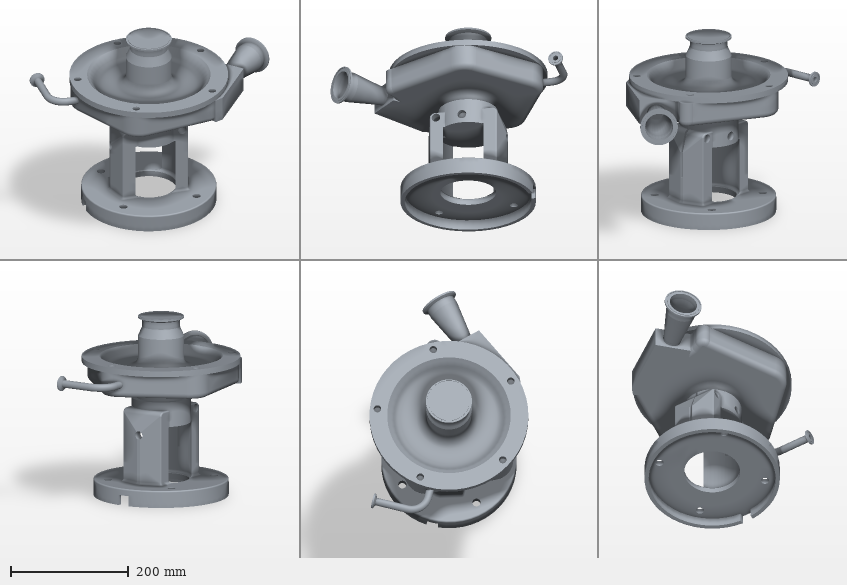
import math

import cadquery as cq

BASE_RADIUS = 115
BASE_HEIGHT = 29.2
BASE_EDGE_FILLET = 2.5
BASE_BORE_RADIUS = 47.5
BASE_BORE_CHAMFER = 1.5
RECESS_RADIUS = 108
RECESS_DEPTH = 17.6
BASE_BOLT_CIRCLE_RADIUS = 92
BASE_BOLT_RADIUS = 7
BASE_BOLT_COUNT = 4
FIRST_BASE_BOLT_ANGLE = 45
NOTCH_WIDTH = 20

LEG_WIDTH = 78
LEG_TOP_Z = 155.5
LEG_BORE_RADIUS = 52.5
LEG_CORNER_Y = 58
LEG_RIDGE_Y = 68.6
LEG_RIDGE_WIDTH = 6.5
LEG_CORNER_FILLET = 2.5
LEG_TOP_FILLET = 10
LEG_SLOPE_BASE_Z = 118.5
LEG_SLOPE_TOP_Y = 56.6
FOOT_FILLET = 4.5
FRONT_HOLE_RADIUS = 7.1
FRONT_HOLE_Z = 113.7

COLLAR_RADIUS = 50.5
COLLAR_BOTTOM_Z = 126.7
COLLAR_TOP_Z = 169.6
COLLAR_HOLE_RADIUS = 7.7
COLLAR_HOLE_Z = 142
COLLAR_HOLE_DEPTH = 10
CLAMP_SCREW_RADIUS = 7.4
CLAMP_SCREW_Y = 47.5
CLAMP_SCREW_Z = 145.7
SLIT_WIDTH = 4
SLIT_BOTTOM_Z = 74

CASING_BOTTOM_Z = 189
FLANGE_BOTTOM_Z = 231
FLANGE_THICKNESS = 10
FLANGE_TOP_Z = FLANGE_BOTTOM_Z + FLANGE_THICKNESS
FLANGE_RADIUS = 135
FLANGE_BOLT_CIRCLE_RADIUS = 122
FLANGE_BOLT_RADIUS = 6.4
CASING_SIDES = 5
FIRST_CORNER_ANGLE = 45
CASING_FACE_DISTANCE = 115.2
CASING_CORNER_RADIUS = 35.3
CASING_EDGE_FILLET = 9.5
LUG_ROOT_SIDE = 35
LUG_START_SIDE = 8.1
LUG_END_SIDE = -23
LUG_CROWN = (142.5, -7.1)
LUG_CROWN_END = (134.4, -16.6)
CASING_NECK_RADIUS = 42
CASING_NECK_FILLET = 10

DISH_FLOOR_Z = 225
DISH_FILLET = 15
DISH_WALL_ANGLE = 45
DISH_FLOOR_RADIUS = 82.7

INLET_RADIUS = 39
INLET_TAPER_BOTTOM_Z = 276
INLET_TAPER_TOP_Z = 292
INLET_NECK_RADIUS = 32
INLET_FERRULE_RADIUS = 39.2
INLET_TOP_Z = 310
FERRULE_RIM = 3
FERRULE_LENGTH = 6
GROOVE_WIDTH = 2
GROOVE_INSET = 2
GROOVE_DEPTH = 1

OUTLET_ANGLE = FIRST_CORNER_ANGLE + 90
OUTLET_OFFSET = 95.6
OUTLET_Z = 209
OUTLET_FACE = 110
BLOCK_OUTLINE = [
    (124, OUTLET_FACE),
    (63, OUTLET_FACE),
    (60, 0),
    (135.4, -11),
    (140.8, 2.6),
]
OUTLET_NECK_LENGTH = 3.5
OUTLET_SMALL_RADIUS = 15.4
OUTLET_LARGE_RADIUS = 25.7
OUTLET_CONE_END = 177.5
OUTLET_FERRULE_RADIUS = 32
OUTLET_END = 195.9
OUTLET_BORE_LARGE = 23.7
OUTLET_BORE_MIDDLE = 22
OUTLET_BORE_STEP_START = 170
OUTLET_BORE_STEP_END = 184
OUTLET_BORE_SMALL = 13

DRAIN_RADIUS = 6.5
DRAIN_Z = 211.5
DRAIN_BORE_RADIUS = 4.5
DRAIN_BEND_RADIUS = 28.6
DRAIN_BEND_Y = -143
DRAIN_FERRULE_RADIUS = 12.7
DRAIN_END_X = -89.3
DRAIN_START_Y = -110

MARGIN = 0.5
OVERLAP = 1


def polar(radius, angle):
    return (radius * math.cos(math.radians(angle)), radius * math.sin(math.radians(angle)))


def cylinder(radius, bottom, top):
    return cq.Workplane("XY").workplane(offset=bottom).circle(radius).extrude(top - bottom)


def prism(points, bottom, top):
    return cq.Workplane("XY").workplane(offset=bottom).polyline(points).close().extrude(top - bottom)


def revolved(points):
    """Solid of revolution about Z from (radius, height) points."""
    return cq.Workplane("XZ").polyline(points).close().revolve(360, (0, 0, 0), (0, 1, 0))


def cylinder_along(axis, radius, start, length):
    return cq.Workplane("XY").add(cq.Solid.makeCylinder(radius, length, cq.Vector(*start), cq.Vector(*axis)))


def leg(side):
    """One leg, on the +Y (side = 1) or -Y (side = -1) half of the base."""
    half = LEG_WIDTH / 2
    ridge = LEG_RIDGE_WIDTH / 2
    outline = [
        (-half, 0),
        (half, 0),
        (half, side * LEG_CORNER_Y),
        (ridge, side * LEG_RIDGE_Y),
        (-ridge, side * LEG_RIDGE_Y),
        (-half, side * LEG_CORNER_Y),
    ]
    body = prism(outline, BASE_HEIGHT - OVERLAP, LEG_TOP_Z)
    corners = cq.selectors.BoxSelector(
        (-half - MARGIN, side * LEG_CORNER_Y - MARGIN, 0),
        (half + MARGIN, side * LEG_CORNER_Y + MARGIN, LEG_TOP_Z),
    )
    body = body.edges("|Z").edges(corners).fillet(LEG_CORNER_FILLET)
    slope_profile = [
        (0, 0),
        (0, LEG_TOP_Z),
        (side * LEG_SLOPE_TOP_Y, LEG_TOP_Z),
        (side * LEG_RIDGE_Y, LEG_SLOPE_BASE_Z),
        (side * LEG_RIDGE_Y, 0),
    ]
    sloped = cq.Workplane("YZ").polyline(slope_profile).close().extrude(half, both=True)
    outer_top_edge = sloped.faces(">Z").edges(">Y" if side > 0 else "<Y")
    body = body.intersect(outer_top_edge.fillet(LEG_TOP_FILLET))
    return body.faces(">Z").edges("|Y").fillet(LEG_CORNER_FILLET)


def base_and_legs():
    base = cylinder(BASE_RADIUS, 0, BASE_HEIGHT).faces(">Z").edges().fillet(BASE_EDGE_FILLET)
    body = base.union(leg(1)).union(leg(-1))
    body = body.cut(cylinder(LEG_BORE_RADIUS, BASE_HEIGHT, COLLAR_BOTTOM_Z))
    foot_edges = cq.selectors.BoxSelector(
        (-LEG_WIDTH, -LEG_RIDGE_Y - MARGIN, BASE_HEIGHT - MARGIN),
        (LEG_WIDTH, LEG_RIDGE_Y + MARGIN, BASE_HEIGHT + MARGIN),
    )
    body = body.edges(foot_edges).fillet(FOOT_FILLET)
    return body.union(cylinder(COLLAR_RADIUS, COLLAR_BOTTOM_Z, COLLAR_TOP_Z))


def base_cuts():
    """Bore, underside recess, bolt holes and the notch in the -Y rim of the base."""
    cuts = cylinder(BASE_BORE_RADIUS, 0, BASE_HEIGHT + FOOT_FILLET)
    chamfer = revolved([
        (0, BASE_HEIGHT - BASE_BORE_CHAMFER),
        (BASE_BORE_RADIUS, BASE_HEIGHT - BASE_BORE_CHAMFER),
        (BASE_BORE_RADIUS + BASE_BORE_CHAMFER, BASE_HEIGHT),
        (0, BASE_HEIGHT),
    ])
    cuts = cuts.union(chamfer).union(cylinder(RECESS_RADIUS, 0, RECESS_DEPTH))
    for i in range(BASE_BOLT_COUNT):
        x, y = polar(BASE_BOLT_CIRCLE_RADIUS, FIRST_BASE_BOLT_ANGLE + i * 360 / BASE_BOLT_COUNT)
        cuts = cuts.union(cylinder(BASE_BOLT_RADIUS, 0, BASE_HEIGHT).translate((x, y, 0)))
    notch = cq.Workplane("XY").box(NOTCH_WIDTH, BASE_RADIUS, RECESS_DEPTH, centered=(True, False, False))
    return cuts.union(notch.translate((0, -BASE_RADIUS, 0)))


def front_leg_hole():
    """Hole through the -Y leg only."""
    start = (0, -LEG_RIDGE_Y - MARGIN, FRONT_HOLE_Z)
    return cylinder_along((0, 1, 0), FRONT_HOLE_RADIUS, start, LEG_RIDGE_Y)


def collar_hole():
    """Blind hole in the -X side of the collar."""
    start = (-COLLAR_RADIUS, 0, COLLAR_HOLE_Z)
    return cylinder_along((1, 0, 0), COLLAR_HOLE_RADIUS, start, COLLAR_HOLE_DEPTH)


def clamp_slit():
    """Slit through the +Y leg and collar wall, with the screw hole that crosses it."""
    screw_start = (-LEG_WIDTH / 2, CLAMP_SCREW_Y, CLAMP_SCREW_Z)
    screw = cylinder_along((1, 0, 0), CLAMP_SCREW_RADIUS, screw_start, LEG_WIDTH)
    slit_height = COLLAR_TOP_Z - SLIT_BOTTOM_Z
    slit = cq.Workplane("XY").box(SLIT_WIDTH, LEG_RIDGE_Y, slit_height, centered=(True, False, False))
    return screw.union(slit.translate((0, CLAMP_SCREW_Y - CLAMP_SCREW_RADIUS, SLIT_BOTTOM_Z)))


def adapter():
    body = base_and_legs().cut(base_cuts())
    return body.cut(front_leg_hole()).cut(collar_hole()).cut(clamp_slit())


def on_corner_face(side):
    """Point on the casing faces that meet at a corner on +X, at a sideways distance."""
    half_turn = math.pi / CASING_SIDES
    out = (CASING_FACE_DISTANCE - abs(side) * math.sin(half_turn)) / math.cos(half_turn)
    return (out, side)


def corner_lug():
    """Rounded lug pointing along +X, before it is turned onto its casing corner."""
    outline = (
        cq.Workplane("XY")
        .workplane(offset=CASING_BOTTOM_Z)
        .moveTo(*on_corner_face(LUG_ROOT_SIDE))
        .lineTo(*on_corner_face(LUG_START_SIDE))
        .threePointArc(LUG_CROWN, LUG_CROWN_END)
        .lineTo(*on_corner_face(LUG_END_SIDE))
        .lineTo(*on_corner_face(-LUG_ROOT_SIDE))
        .close()
    )
    return outline.extrude(FLANGE_BOTTOM_Z - CASING_BOTTOM_Z)


def casing_body():
    corner_reach = CASING_FACE_DISTANCE / math.cos(math.pi / CASING_SIDES)
    step = 360 / CASING_SIDES
    corners = [polar(corner_reach, FIRST_CORNER_ANGLE + i * step) for i in range(CASING_SIDES)]
    body = prism(corners, CASING_BOTTOM_Z, FLANGE_BOTTOM_Z)
    body = body.edges("|Z").fillet(CASING_CORNER_RADIUS)
    body = body.union(corner_lug().rotate((0, 0, 0), (0, 0, 1), FIRST_CORNER_ANGLE + step))
    body = body.faces("<Z").edges().fillet(CASING_EDGE_FILLET)
    block = prism(BLOCK_OUTLINE, CASING_BOTTOM_Z, FLANGE_BOTTOM_Z)
    return body.union(block.rotate((0, 0, 0), (0, 0, 1), FIRST_CORNER_ANGLE))


def casing():
    body = casing_body().union(cylinder(FLANGE_RADIUS, FLANGE_BOTTOM_Z, FLANGE_TOP_Z))
    for i in range(CASING_SIDES):
        x, y = polar(FLANGE_BOLT_CIRCLE_RADIUS, FIRST_CORNER_ANGLE + i * 360 / CASING_SIDES)
        hole = cylinder(FLANGE_BOLT_RADIUS, FLANGE_BOTTOM_Z, FLANGE_TOP_Z)
        body = body.cut(hole.translate((x, y, 0)))
    return body


def casing_neck():
    top_radius = CASING_NECK_RADIUS + CASING_NECK_FILLET
    arc_start_z = CASING_BOTTOM_Z - CASING_NECK_FILLET
    middle = CASING_NECK_FILLET * (1 - math.sqrt(0.5))
    profile = (
        cq.Workplane("XZ")
        .moveTo(0, COLLAR_TOP_Z)
        .lineTo(CASING_NECK_RADIUS, COLLAR_TOP_Z)
        .lineTo(CASING_NECK_RADIUS, arc_start_z)
        .threePointArc(
            (CASING_NECK_RADIUS + middle, CASING_BOTTOM_Z - middle), (top_radius, CASING_BOTTOM_Z)
        )
        .lineTo(0, CASING_BOTTOM_Z)
        .close()
    )
    return profile.revolve(360, (0, 0, 0), (0, 1, 0))


def dish():
    """Ring-shaped hollow in the casing top, blended into the inlet pipe."""
    run = DISH_FILLET * math.sin(math.radians(DISH_WALL_ANGLE))
    rise = DISH_FILLET * (1 - math.cos(math.radians(DISH_WALL_ANGLE)))
    wall_foot = (DISH_FLOOR_RADIUS + run, DISH_FLOOR_Z + rise)
    wall_run = (FLANGE_TOP_Z - wall_foot[1]) / math.tan(math.radians(DISH_WALL_ANGLE))
    wall_top = (wall_foot[0] + wall_run, FLANGE_TOP_Z)
    bend = math.radians(DISH_WALL_ANGLE / 2)
    wall_bend = (
        DISH_FLOOR_RADIUS + DISH_FILLET * math.sin(bend),
        DISH_FLOOR_Z + DISH_FILLET * (1 - math.cos(bend)),
    )
    inner_floor = INLET_RADIUS + DISH_FILLET
    pipe_bend = DISH_FILLET * (1 - math.sqrt(0.5))
    profile = (
        cq.Workplane("XZ")
        .moveTo(INLET_RADIUS, FLANGE_TOP_Z)
        .lineTo(INLET_RADIUS, DISH_FLOOR_Z + DISH_FILLET)
        .threePointArc((INLET_RADIUS + pipe_bend, DISH_FLOOR_Z + pipe_bend), (inner_floor, DISH_FLOOR_Z))
        .lineTo(DISH_FLOOR_RADIUS, DISH_FLOOR_Z)
        .threePointArc(wall_bend, wall_foot)
        .lineTo(*wall_top)
        .close()
    )
    return profile.revolve(360, (0, 0, 0), (0, 1, 0))


def ferrule_groove(rim_radius, end):
    """Gasket groove in the face of a ferrule that ends at height end."""
    outer = rim_radius - GROOVE_INSET
    floor = end - GROOVE_DEPTH
    return cylinder(outer, floor, end).cut(cylinder(outer - GROOVE_WIDTH, floor, end))


def inlet():
    pipe = revolved([
        (0, DISH_FLOOR_Z),
        (INLET_RADIUS, DISH_FLOOR_Z),
        (INLET_RADIUS, INLET_TAPER_BOTTOM_Z),
        (INLET_NECK_RADIUS, INLET_TAPER_TOP_Z),
        (INLET_NECK_RADIUS, INLET_TOP_Z - FERRULE_LENGTH),
        (INLET_FERRULE_RADIUS, INLET_TOP_Z - FERRULE_RIM),
        (INLET_FERRULE_RADIUS, INLET_TOP_Z),
        (0, INLET_TOP_Z),
    ])
    return pipe.cut(ferrule_groove(INLET_FERRULE_RADIUS, INLET_TOP_Z))


def place_outlet(shape):
    """Lay a Z-axis shape along the outlet line."""
    x, y = polar(OUTLET_OFFSET, FIRST_CORNER_ANGLE)
    level = shape.rotate((0, 0, 0), (0, 1, 0), 90)
    return level.rotate((0, 0, 0), (0, 0, 1), OUTLET_ANGLE).translate((x, y, OUTLET_Z))


def outlet():
    cone_start = OUTLET_FACE + OUTLET_NECK_LENGTH
    pipe = revolved([
        (0, OUTLET_FACE - OVERLAP),
        (OUTLET_SMALL_RADIUS, OUTLET_FACE - OVERLAP),
        (OUTLET_SMALL_RADIUS, cone_start),
        (OUTLET_LARGE_RADIUS, OUTLET_CONE_END),
        (OUTLET_LARGE_RADIUS, OUTLET_END - FERRULE_LENGTH),
        (OUTLET_FERRULE_RADIUS, OUTLET_END - FERRULE_RIM),
        (OUTLET_FERRULE_RADIUS, OUTLET_END),
        (0, OUTLET_END),
    ])
    return place_outlet(pipe.cut(ferrule_groove(OUTLET_FERRULE_RADIUS, OUTLET_END)))


def outlet_bore():
    return place_outlet(revolved([
        (0, OUTLET_FACE),
        (OUTLET_BORE_SMALL, OUTLET_FACE),
        (OUTLET_BORE_MIDDLE, OUTLET_BORE_STEP_START),
        (OUTLET_BORE_LARGE, OUTLET_BORE_STEP_END),
        (OUTLET_BORE_LARGE, OUTLET_END),
        (0, OUTLET_END),
    ]))


def drain_sweep(radius, end_x):
    """Round bar along the drain line, from the casing around the bend to end_x."""
    far_y = DRAIN_BEND_Y - DRAIN_BEND_RADIUS
    bend_middle = DRAIN_BEND_RADIUS * (1 - math.sqrt(0.5))
    path = (
        cq.Workplane("XY", origin=(0, 0, DRAIN_Z))
        .moveTo(0, DRAIN_START_Y)
        .lineTo(0, DRAIN_BEND_Y)
        .threePointArc((-bend_middle, far_y + bend_middle), (-DRAIN_BEND_RADIUS, far_y))
        .lineTo(end_x, far_y)
    )
    section = cq.Workplane("XZ", origin=(0, DRAIN_START_Y, DRAIN_Z)).circle(radius)
    return section.sweep(path)


def drain():
    ferrule = revolved([
        (0, -FERRULE_LENGTH),
        (DRAIN_RADIUS, -FERRULE_LENGTH),
        (DRAIN_FERRULE_RADIUS, -FERRULE_RIM),
        (DRAIN_FERRULE_RADIUS, 0),
        (0, 0),
    ])
    ferrule = ferrule.cut(ferrule_groove(DRAIN_FERRULE_RADIUS, 0))
    ferrule = ferrule.rotate((0, 0, 0), (0, 1, 0), -90)
    ferrule = ferrule.translate((DRAIN_END_X, DRAIN_BEND_Y - DRAIN_BEND_RADIUS, DRAIN_Z))
    return drain_sweep(DRAIN_RADIUS, DRAIN_END_X + FERRULE_RIM).union(ferrule)


result = (
    casing()
    .cut(dish())
    .union(inlet())
    .union(casing_neck())
    .union(outlet())
    .cut(outlet_bore())
    .union(drain())
    .cut(drain_sweep(DRAIN_BORE_RADIUS, DRAIN_END_X))
    .union(adapter())
)